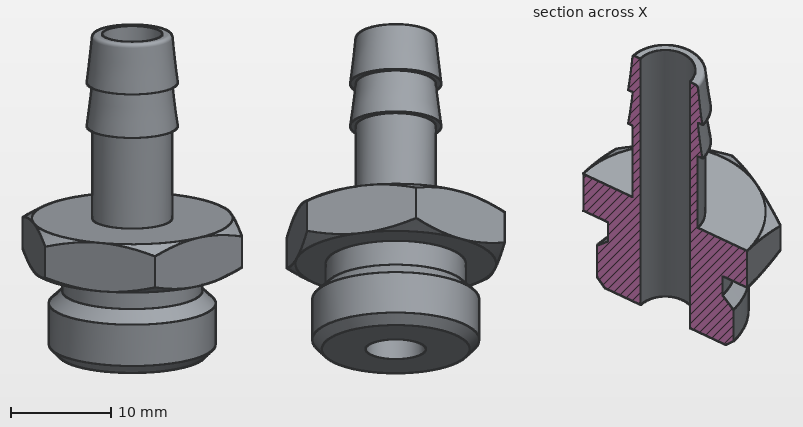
import cadquery as cq
import math

total_height = 33.0
bore_diameter = 6.0

thread_radius = 16.65 / 2
thread_top = 5.25
thread_chamfer_width = 0.95
thread_chamfer_height = 1.0
neck_radius = 14.0 / 2
neck_cone_top = 6.5

hex_flats = 20.0
hex_bottom = 9.0
hex_top = 14.0
hex_chamfer_angle = 30.0

stem_radius = 8.0 / 2
barb_radius = 4.55
lower_barb_bottom = 23.5
upper_barb_bottom = 28.0
tip_fillet = 0.43


def revolve_profile(points):
    """Revolve a closed outline of (radius, z) points about the Z axis."""
    return cq.Workplane("XZ").polyline(points).close().revolve(360, (0, 0), (0, 1))


def make_threaded_end():
    return revolve_profile([
        (0, 0),
        (thread_radius - thread_chamfer_width, 0),
        (thread_radius, thread_chamfer_height),
        (thread_radius, thread_top),
        (neck_radius, neck_cone_top),
        (neck_radius, hex_bottom),
        (0, hex_bottom),
    ])


def make_hex_collar():
    """Hexagon with corners along X, its corners turned off conically on both faces."""
    corner_radius = hex_flats / math.sqrt(3)
    flat_radius = hex_flats / 2
    chamfer_height = (corner_radius - flat_radius) * math.tan(math.radians(hex_chamfer_angle))
    hexagon = (
        cq.Workplane("XY", origin=(0, 0, hex_bottom))
        .polygon(6, 2 * corner_radius)
        .extrude(hex_top - hex_bottom)
    )
    envelope = revolve_profile([
        (0, hex_bottom),
        (flat_radius, hex_bottom),
        (corner_radius, hex_bottom + chamfer_height),
        (corner_radius, hex_top - chamfer_height),
        (flat_radius, hex_top),
        (0, hex_top),
    ])
    return hexagon.intersect(envelope)


def make_hose_tail():
    tail = revolve_profile([
        (0, hex_top),
        (stem_radius, hex_top),
        (stem_radius, lower_barb_bottom),
        (barb_radius, lower_barb_bottom),
        (stem_radius, upper_barb_bottom),
        (barb_radius, upper_barb_bottom),
        (stem_radius, total_height),
        (0, total_height),
    ])
    return tail.faces(">Z").edges().fillet(tip_fillet)


bore = cq.Workplane("XY").circle(bore_diameter / 2).extrude(total_height)
result = make_threaded_end().union(make_hex_collar()).union(make_hose_tail()).cut(bore)